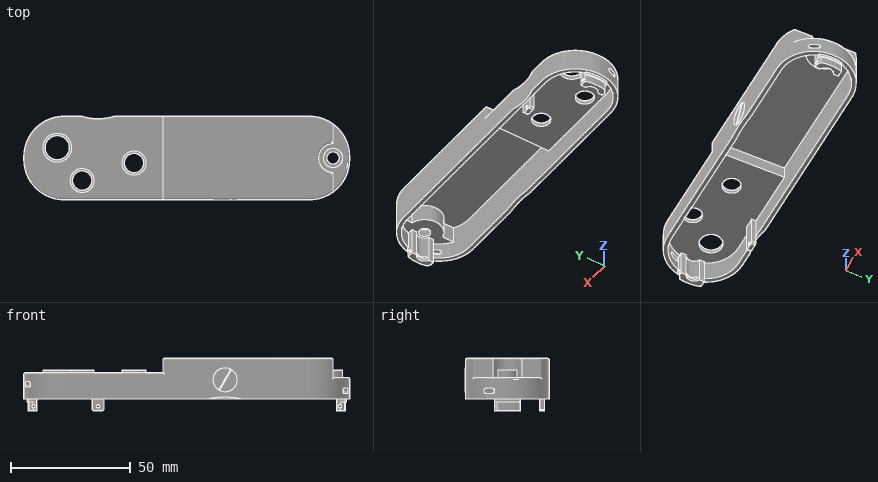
import cadquery as cq

length = 136.0
width = 35.0
end_radius = 17.0

wall = 2.0
roof = 1.0
edge_fillet = 0.8

deck_top = 11.0
block_top = 17.0
ledge_top = 9.0

block_start = 58.0
pin_x = 129.0
block_end = pin_x
pin_clearance_radius = 6.0

ring_top = deck_top + 1.0
rings = [
    (14.0, 4.3, 12.0, 10.0),
    (24.4, -9.4, 10.0, 8.0),
    (46.0, -2.1, 10.0, 8.0),
]

boss_diameter = 8.0
boss_hole_diameter = 5.0
boss_top = ledge_top + 3.0

scallop_width = 14.0
side_notch_x = 31.0
side_notch_depth = 1.1
rim_scallop_x = 83.8
rim_scallop_depth = 0.85

screw_x = 84.0
screw_z = 8.0
screw_diameter = 10.0
screw_protrusion = 0.1
screw_slot_width = 0.4
screw_slot_depth = 0.2
screw_slot_angle = 60.0

slot_length = 4.4
slot_height = 2.2
slot_depth = 6.0
slot_y = -7.6
left_slot_z = 6.1
right_slot_z = 3.4

tab_drop = 5.0
tab_hole_diameter = 1.25
tab_hole_z = -3.05
side_tab_width = 5.0
side_tab_thickness = 2.0
side_tab_chamfer = 0.7

end_tab_inset = 1.7
end_tab_lip_inset = 1.3
end_tab_lip_height = 1.2
end_tab_back = 5.5
end_tab_bevel_x = 3.9
end_tab_half_width = 5.4
end_tab_bevel_y = -3.9
end_tab_bore_diameter = 7.0
end_tab_hole_x = 4.1


def box(x_min, x_max, y_min, y_max, z_min, z_max):
    size = (x_max - x_min, y_max - y_min, z_max - z_min)
    return cq.Workplane("XY").box(*size, centered=False).translate((x_min, y_min, z_min))


def cylinder(x, y, diameter, z_min, z_max):
    return cq.Workplane("XY", origin=(x, y, z_min)).circle(diameter / 2).extrude(z_max - z_min)


def outline_prism(inset, z_min, z_max):
    """Long outline with rounded corners, moved inward by inset."""
    return (
        cq.Workplane("XY", origin=(length / 2, 0, z_min))
        .rect(length - 2 * inset, width - 2 * inset)
        .extrude(z_max - z_min)
        .edges("|Z")
        .fillet(end_radius - inset)
    )


def outline_section(inset, x_min, x_max, z_min, z_max):
    """Part of the outline prism between two X planes."""
    return outline_prism(inset, z_min, z_max).intersect(box(x_min, x_max, -width, width, z_min, z_max))


def scallop_radius(depth):
    """Radius of the arc that is scallop_width wide where it is depth deep."""
    return ((scallop_width / 2) ** 2 + depth**2) / (2 * depth)


def side_notch():
    radius = scallop_radius(side_notch_depth)
    centre_y = width / 2 - side_notch_depth + radius
    return cylinder(side_notch_x, centre_y, 2 * radius, 0, deck_top)


def outer_body():
    ledge = outline_prism(0, 0, ledge_top).faces(">Z").edges().fillet(edge_fillet)

    deck_end = block_start + wall
    deck = outline_section(0, 0, deck_end, 0, deck_top).cut(side_notch())
    deck = deck.faces(">Z").edges("not(>X)").fillet(edge_fillet)

    clearance = cylinder(pin_x, 0, 2 * pin_clearance_radius, 0, block_top)
    block = outline_section(0, block_start, block_end, 0, block_top)
    block = block.edges("|Z and (<X or >X)").fillet(edge_fillet)
    block = block.cut(clearance).faces(">Z").edges().fillet(edge_fillet)

    return ledge.cut(side_notch()).union(deck).union(block)


def cavity():
    """Hollow interior, open at the rim, bounded by the side walls and the thinner roof."""
    under_ledge = outline_prism(wall, 0, ledge_top - roof)
    under_deck = outline_section(wall, wall, block_start + 2 * wall, 0, deck_top - roof)
    under_block = outline_section(wall, block_start + wall, block_end - wall, 0, block_top - roof)
    pin_wall = cylinder(pin_x, 0, 2 * (pin_clearance_radius + wall), ledge_top - roof, block_top)
    return under_ledge.union(under_deck).union(under_block.cut(pin_wall))


def add_tube(body, x, y, outer_diameter, hole_diameter, base_z, top_z):
    """Ring standing on the roof with a hole through roof and ring."""
    body = body.union(cylinder(x, y, outer_diameter, base_z - roof, top_z))
    return body.cut(cylinder(x, y, hole_diameter, base_z - roof, top_z))


def rim_scallop():
    """Cutter that starts inside the cavity, so it passes through the front wall only."""
    radius = scallop_radius(rim_scallop_depth)
    inner_y = -width / 2 + wall
    return (
        cq.Workplane("XZ", origin=(rim_scallop_x, inner_y, rim_scallop_depth - radius))
        .circle(radius)
        .extrude(2 * wall)
    )


def screw_head():
    return (
        cq.Workplane("XZ", origin=(screw_x, -width / 2 + wall, screw_z))
        .circle(screw_diameter / 2)
        .extrude(wall + screw_protrusion)
    )


def screw_slot():
    slot_bottom_y = -width / 2 - screw_protrusion + screw_slot_depth
    return (
        cq.Workplane("XZ", origin=(screw_x, slot_bottom_y, screw_z))
        .transformed(rotate=(0, 0, screw_slot_angle))
        .rect(screw_diameter, screw_slot_width)
        .extrude(screw_slot_depth)
    )


def end_slot(x_start, y, z):
    return cq.Workplane("YZ", origin=(x_start, y, z)).slot2D(slot_length, slot_height).extrude(slot_depth)


def tab_hole(x):
    return cq.Workplane("XZ", origin=(x, width / 2, tab_hole_z)).circle(tab_hole_diameter / 2).extrude(width)


def side_tab():
    outer_y = width / 2 - wall
    half_width = side_tab_width / 2
    tab = box(
        side_notch_x - half_width, side_notch_x + half_width,
        outer_y - side_tab_thickness, outer_y,
        -tab_drop, deck_top - roof,
    )
    tab = tab.faces("<Z").edges("|Y").chamfer(side_tab_chamfer)
    return tab.cut(tab_hole(side_notch_x))


def left_end_tab():
    """Curved tab with a lip under the rim, a bevel on its front side, a pin bore and a cross hole."""
    tab_top = ledge_top - roof
    front_y = -end_tab_half_width
    envelope = box(0, end_tab_back, front_y, end_tab_half_width, -tab_drop, tab_top)
    tab = outline_prism(end_tab_inset, -tab_drop, tab_top).intersect(envelope)
    bevel = (
        cq.Workplane("XY", origin=(0, 0, -tab_drop))
        .moveTo(end_tab_bevel_x, front_y)
        .lineTo(end_tab_lip_inset, end_tab_bevel_y)
        .lineTo(end_tab_lip_inset, front_y)
        .close()
        .extrude(tab_drop - end_tab_lip_height)
    )
    lip = outline_prism(end_tab_lip_inset, -end_tab_lip_height, tab_top).intersect(envelope)
    bore = cylinder(length - pin_x, 0, end_tab_bore_diameter, -tab_drop, tab_top)
    return tab.cut(bevel).union(lip).cut(bore).cut(tab_hole(end_tab_hole_x))


def right_end_tab():
    return left_end_tab().mirror("YZ").translate((length, 0, 0))


def build():
    body = outer_body().cut(cavity())
    for x, y, outer_diameter, hole_diameter in rings:
        body = add_tube(body, x, y, outer_diameter, hole_diameter, deck_top, ring_top)
    body = add_tube(body, pin_x, 0, boss_diameter, boss_hole_diameter, ledge_top, boss_top)
    body = body.cut(rim_scallop())
    body = body.union(screw_head()).cut(screw_slot())
    body = body.cut(end_slot(0, slot_y, left_slot_z))
    body = body.cut(end_slot(length - slot_depth, slot_y, right_slot_z))
    return body.union(side_tab()).union(left_end_tab()).union(right_end_tab())


result = build()